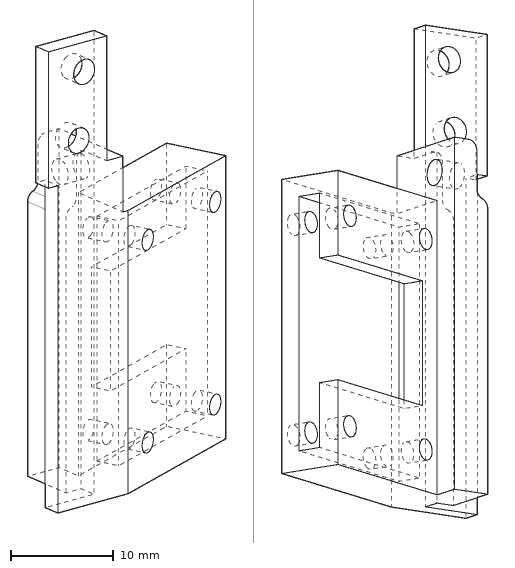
import cadquery as cq
import math


overall_depth = 27.14

wall_width = 10.0
wall_thickness = 2.03
wall_height = 35.3

plate_thickness = 2.0
plate_height = 48.3
plate_front_y = -8.15
tab_front_y = -9.32
tab_bottom_z = 34.1
plate_holes = [(-4.85, 45.2), (-5.55, 38.2)]
plate_hole_diameter = 2.6

rib_right_x = -4.0
rib_front_y = -3.95
rib_upper_front_y = -2.65
rib_radius = 1.0
step_top_z = 30.5
step_bottom_z = 28.6
rounding_overrun = 0.45
rib_hole_x = -6.55
rib_hole_z = 32.4
rib_hole_diameter = 2.6

block_angle = 19.8
block_thickness = 6.8
block_height = 29.5
block_overhang = 2.58
block_left_x = -wall_width - block_overhang
block_rear_y = overall_depth + tab_front_y
lip_thickness = 2.2
cavity_depth = 2.5
cavity_margin_z = 2.0
window_margin_z = 8.5
window_length = 14.05
block_hole_diameter = 2.1
hole_end_offset = 2.0
hole_spacing_along = 12.6
hole_margin_z = 4.2
cavity_length = 2 * hole_end_offset + hole_spacing_along

slant = math.radians(block_angle)
block_rear_x = block_left_x + block_thickness * math.cos(slant)
block_left_y = block_rear_y - block_thickness * math.sin(slant)


def box(x_range, y_range, z_range):
    """Axis-aligned box between pairs of limits."""
    sizes = [limits[1] - limits[0] for limits in (x_range, y_range, z_range)]
    corner = (x_range[0], y_range[0], z_range[0])
    return cq.Workplane("XY").box(*sizes, centered=False).translate(corner)


def make_side_plate():
    """Upright plate whose upper tab reaches further forward, with two holes through it."""
    plate_x = (-plate_thickness, 0)
    plate = box(plate_x, (plate_front_y, 0), (0, tab_bottom_z))
    tab = box(plate_x, (tab_front_y, -wall_thickness), (tab_bottom_z, plate_height))
    holes = (
        cq.Workplane("YZ", origin=(-plate_thickness, 0, 0))
        .pushPoints(plate_holes)
        .circle(plate_hole_diameter / 2)
        .extrude(plate_thickness)
    )
    return plate.union(tab).cut(holes)


def make_rib():
    """Rib whose upper part is set back over a step of one hollow and one round arc."""
    meet_y = (rib_front_y + rib_upper_front_y) / 2
    meet_z = (step_bottom_z + step_top_z) / 2
    return (
        cq.Workplane("YZ", origin=(-wall_width, 0, 0))
        .moveTo(-wall_thickness, 0)
        .lineTo(rib_front_y, 0)
        .lineTo(rib_front_y, step_bottom_z)
        .radiusArc((meet_y, meet_z), rib_radius)
        .radiusArc((rib_upper_front_y, step_top_z), -rib_radius)
        .lineTo(rib_upper_front_y, wall_height)
        .lineTo(-wall_thickness, wall_height)
        .close()
        .extrude(wall_width + rib_right_x)
    )


def make_rib_rounding():
    """Cutter rounding the rib's top front edge; it runs slightly past the rib into the back wall."""
    return (
        cq.Workplane("YZ", origin=(-wall_width, 0, 0))
        .moveTo(rib_upper_front_y, wall_height)
        .lineTo(rib_upper_front_y, wall_height - rib_radius)
        .radiusArc((rib_upper_front_y + rib_radius, wall_height), rib_radius)
        .close()
        .extrude(wall_width + rib_right_x + rounding_overrun)
    )


def make_rib_hole():
    """Hole through the set-back part of the rib and the back wall."""
    return (
        cq.Workplane("XZ")
        .center(rib_hole_x, rib_hole_z)
        .circle(rib_hole_diameter / 2)
        .extrude(-rib_front_y)
    )


def make_block_body():
    """Slanted block, trimmed by the rear face of the back wall and the side plate's right face."""
    left_foot_x = block_left_x + block_left_y * math.tan(slant)
    right_foot_y = block_rear_y + block_rear_x / math.tan(slant)
    return (
        cq.Workplane("XY")
        .moveTo(left_foot_x, 0)
        .lineTo(block_left_x, block_left_y)
        .lineTo(block_rear_x, block_rear_y)
        .lineTo(0, right_foot_y)
        .lineTo(0, 0)
        .close()
        .extrude(block_height)
    )


def make_block_cuts():
    """Cavity open at the block's end, the window into it and four screw holes.

    Local axes start at the block's left end corner: X into the block, Y outward past its end.
    """
    cavity = box(
        (lip_thickness, lip_thickness + cavity_depth),
        (-cavity_length, 0),
        (cavity_margin_z, block_height - cavity_margin_z),
    )
    window = box(
        (0, lip_thickness),
        (-window_length, 0),
        (window_margin_z, block_height - window_margin_z),
    )
    hole_points = [
        (-hole_end_offset - along, z)
        for along in (0, hole_spacing_along)
        for z in (hole_margin_z, block_height - hole_margin_z)
    ]
    holes = (
        cq.Workplane("YZ")
        .pushPoints(hole_points)
        .circle(block_hole_diameter / 2)
        .extrude(block_thickness)
    )
    cuts = cavity.union(window).union(holes)
    turned = cuts.rotate((0, 0, 0), (0, 0, 1), block_angle)
    return turned.translate((block_left_x, block_left_y, 0))


back_wall = box((-wall_width, 0), (-wall_thickness, 0), (0, wall_height))
bracket = back_wall.union(make_rib()).cut(make_rib_rounding()).cut(make_rib_hole())
block = make_block_body().cut(make_block_cuts())
result = bracket.union(make_side_plate()).union(block)